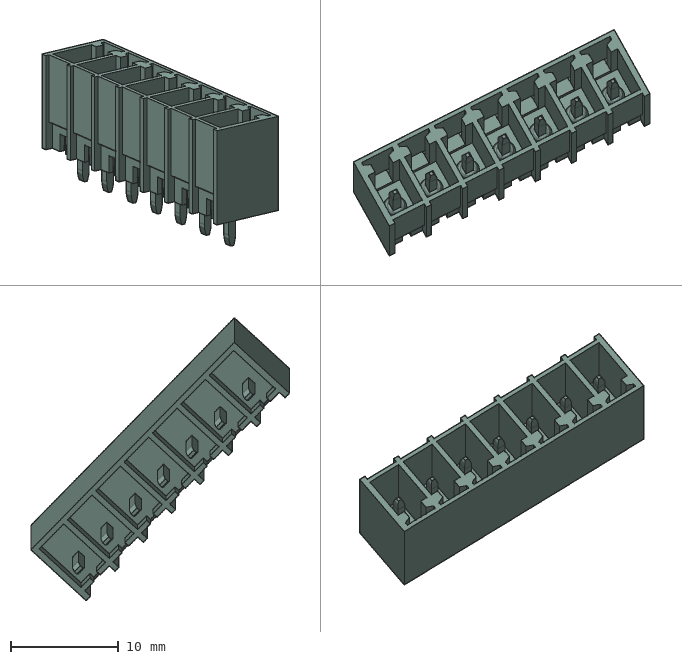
import cadquery as cq
import math

ways = 7
length = 27.35
depth = 7.05
height = 9.22
overall_height = 12.4

cell_width = 3.28
end_wall = 0.6
pitch = (length - 2 * end_wall - cell_width) / (ways - 1)
cell_centres = [(i - (ways - 1) / 2) * pitch for i in range(ways)]
cell_front = 0.8
cell_back = 5.25
floor_top = 3.0

back_wall = 0.4
keyway_back = depth - back_wall
neck_width = 1.9
wing_span = 3.17
wing_side = 0.3
wing_root = 0.57

ledge_width = 1.83
ledge_back_gap = 0.1
ledge_rise = 0.55

rib_projection = 0.38
lower_step = 0.35
lower_front = rib_projection + lower_step
step_top = 2.63
step_bottom = 2.45

lower_wall = 0.5
underside_depth = 1.7
slot_width = 0.88

boss_base_radius = 1.1
boss_shoulder_radius = 0.9
boss_top_radius = 0.68
boss_cone_height = 0.5
boss_height = 0.6

pin_width = 0.8
pin_y = 3.1
pin_top = 7.72
pin_bottom = height - overall_height
top_taper = 1.0
top_tip_width = 0.33
bottom_taper = 1.12
bottom_tip_width = 0.33


def box(width, x, y_range, z_range):
    """Block of a given width centred on x, spanning the Y and Z ranges."""
    y0, y1 = y_range
    z0, z1 = z_range
    return cq.Workplane("XY").box(width, y1 - y0, z1 - z0, centered=(True, False, False)).translate((x, y0, z0))


def front_recess(x):
    """Space in front of a cell, between two ribs, deeper below the sloping step."""
    return (
        cq.Workplane("YZ")
        .polyline([
            (0, 0),
            (lower_front, 0),
            (lower_front, step_bottom),
            (rib_projection, step_top),
            (rib_projection, height),
            (0, height),
        ])
        .close()
        .extrude(cell_width / 2, both=True)
        .translate((x, 0, 0))
    )


def keyway(x):
    """Neck and wings cut from the cell to the back wall, down to the cell floor."""
    neck = neck_width / 2
    wing = wing_span / 2
    return (
        cq.Workplane("XY", origin=(x, 0, floor_top))
        .polyline([
            (-neck, cell_back),
            (neck, cell_back),
            (neck, keyway_back - wing_root),
            (wing, keyway_back - wing_side),
            (wing, keyway_back),
            (-wing, keyway_back),
            (-wing, keyway_back - wing_side),
            (-neck, keyway_back - wing_root),
        ])
        .close()
        .extrude(height - floor_top)
    )


def boss(x):
    """Round boss on the cell floor, turned about the pin axis."""
    shoulder_drop = boss_height - boss_cone_height
    shoulder_run = boss_shoulder_radius - boss_top_radius
    shoulder_mid = (
        boss_top_radius + shoulder_run * math.sin(math.pi / 4),
        boss_cone_height + shoulder_drop * math.sin(math.pi / 4),
    )
    return (
        cq.Workplane("XZ")
        .lineTo(boss_base_radius, 0)
        .lineTo(boss_shoulder_radius, boss_cone_height)
        .threePointArc(shoulder_mid, (boss_top_radius, boss_height))
        .lineTo(0, boss_height)
        .close()
        .revolve(360, (0, 0, 0), (0, 1, 0))
        .translate((x, pin_y, floor_top))
    )


def pin_hole(x):
    """Square hole that a pin fills, through the floor and the boss."""
    half = pin_width / 2
    return box(pin_width, x, (pin_y - half, pin_y + half), (0, height))


def make_housing():
    body = box(length, 0, (0, depth), (0, height))
    underside_range = (lower_front + lower_wall, depth - lower_wall)
    ledge_range = (cell_back, keyway_back - ledge_back_gap)
    for x in cell_centres:
        body = body.cut(front_recess(x))
        body = body.cut(box(cell_width, x, (cell_front, cell_back), (floor_top, height)))
        body = body.cut(keyway(x))
        body = body.cut(box(cell_width, x, underside_range, (0, underside_depth)))
        body = body.cut(box(slot_width, x, (0, underside_range[0]), (0, underside_depth)))
        body = body.union(box(ledge_width, x, ledge_range, (floor_top, floor_top + ledge_rise)))
        body = body.union(boss(x))
        body = body.cut(pin_hole(x))
    return body


def taper_midpoint(taper, tip_width):
    """Midpoint of a taper arc that leaves the pin side tangentially: (half width, height up the taper)."""
    inset = (pin_width - tip_width) / 2
    radius = (taper**2 + inset**2) / (2 * inset)
    mid_angle = math.asin(taper / radius) / 2
    return pin_width / 2 - radius * (1 - math.cos(mid_angle)), radius * math.sin(mid_angle)


def pin_profile(plane, round_bottom):
    """Pin blank extruded from its side outline, always rounded at the top."""
    half = pin_width / 2
    top_half = top_tip_width / 2
    bottom_half = bottom_tip_width / 2
    top_start = pin_top - top_taper
    bottom_start = pin_bottom + bottom_taper
    top_mid, top_rise = taper_midpoint(top_taper, top_tip_width)
    bottom_mid, bottom_drop = taper_midpoint(bottom_taper, bottom_tip_width)

    outline = (
        cq.Workplane(plane)
        .moveTo(half, bottom_start)
        .lineTo(half, top_start)
        .threePointArc((top_mid, top_start + top_rise), (top_half, pin_top))
        .lineTo(-top_half, pin_top)
        .threePointArc((-top_mid, top_start + top_rise), (-half, top_start))
        .lineTo(-half, bottom_start)
    )
    if round_bottom:
        outline = (
            outline
            .threePointArc((-bottom_mid, bottom_start - bottom_drop), (-bottom_half, pin_bottom))
            .lineTo(bottom_half, pin_bottom)
            .threePointArc((bottom_mid, bottom_start - bottom_drop), (half, bottom_start))
        )
    else:
        outline = outline.lineTo(-half, pin_bottom).lineTo(half, pin_bottom)
    return outline.close().extrude(half, both=True)


def make_pin(x):
    """Square pin: top end rounded on four sides, bottom end rounded front and back."""
    blank = pin_profile("XZ", round_bottom=False)
    return blank.intersect(pin_profile("YZ", round_bottom=True)).translate((x, pin_y, 0))


housing = make_housing()
pins = [make_pin(x) for x in cell_centres]

result = cq.Compound.makeCompound([housing.val(), *[pin.val() for pin in pins]])